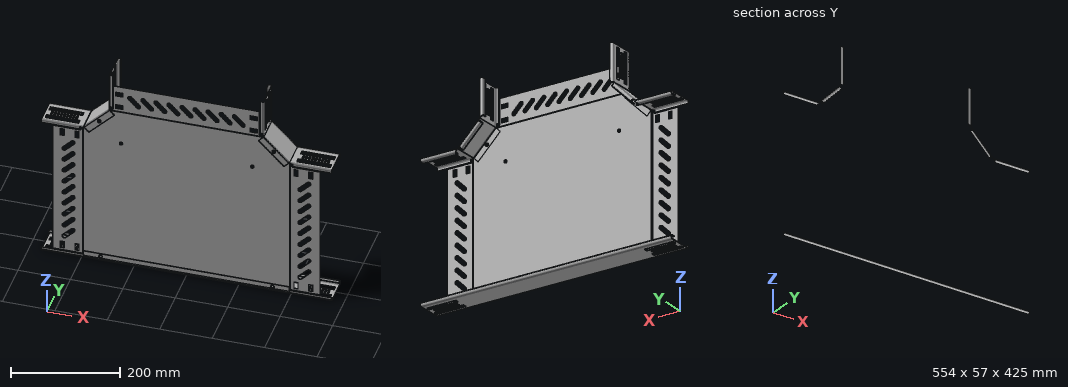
import cadquery as cq
import math


SHEET = 1.5
HALF_LENGTH = 277.0
DEPTH = 57.0
RUN_HEIGHT = 297.5
TOTAL_HEIGHT = 425.0
BRANCH_HALF_WIDTH = 148.0
CORNER_RUN = 49.0
CORNER_ANGLE = 45
JOINT_X = BRANCH_HALF_WIDTH + CORNER_RUN
JOINT_Z = RUN_HEIGHT + CORNER_RUN
RUN_WING = HALF_LENGTH - JOINT_X
BRANCH_WING = TOTAL_HEIGHT - JOINT_Z
DIAGONAL = CORNER_RUN * math.sqrt(2)

BEND_RADIUS = 2.0
ROLL_RADIUS = 4.5
LIP_REACH = 10.5
LIP_CHAMFER = 5.5
FLANGE = 7.0
TAB = 15.0
FLANGE_RELIEF = 6.5
RAIL_TAB_HALF = JOINT_X - 0.5

SCREW_DIAMETER = 6.5
SCREW_INSET = 8.5
RAIL_SCREW_X = 164.0

WING_SLOT_CENTER = 37.0
LONG_SLOT_LENGTH = 63.5
LONG_SLOT_WIDTH = 8.0
LONG_SLOT_DEPTHS = (13.5, 38.0)
SHORT_SLOT_COUNT = 9
SHORT_SLOT_PITCH = 48.0 / (SHORT_SLOT_COUNT - 1)
SHORT_SLOT_WIDTH = 3.0
SHORT_SLOT_LENGTH = 8.5
SHORT_SLOT_DEPTH = 25.5

PLATE_BOTTOM = 4.5
PLATE_TOP = JOINT_Z - BEND_RADIUS
STRIP_CLEARANCE = 9.0
STRIP_WIDTH = 58.0
STEP_WIDTH = 1.5
ROOT_FLARE = 6.0
RUN_STRIP_LENGTH = RUN_HEIGHT - 2 * STRIP_CLEARANCE
BRANCH_STRIP_LENGTH = 2 * (BRANCH_HALF_WIDTH - STRIP_CLEARANCE)
PLATE_HOLE_DIAMETER = 6.0
PLATE_HOLE_X = 125.0
PLATE_HOLE_Z = 272.5

SLANT_COUNT = 9
SLANT_PITCH = 25.0
SLANT_LENGTH = 31.0
SLANT_WIDTH = 8.0
SLANT_ANGLE = 45
SLANT_INSET = 30.0
WINDOW_LENGTH = 14.0
WINDOW_WIDTH = 8.0
WINDOW_INSETS = (18.0, 46.0)
WINDOW_OFFSET = 128.0



def bend(length):
    """Quarter bend between a wall and its flange."""
    inner = BEND_RADIUS - SHEET
    mid = math.sqrt(0.5)
    return (
        cq.Workplane("YZ")
        .moveTo(BEND_RADIUS, 0)
        .threePointArc((BEND_RADIUS * (1 - mid), -BEND_RADIUS * (1 - mid)), (0, -BEND_RADIUS))
        .lineTo(SHEET, -BEND_RADIUS)
        .threePointArc(
            (BEND_RADIUS - inner * mid, -BEND_RADIUS + inner * mid), (BEND_RADIUS, -SHEET)
        )
        .close()
        .extrude(length)
    )


def flange(start, end, reach):
    """Flat flange from one place along the wall to another."""
    return (
        cq.Workplane("XY")
        .box(end - start, SHEET, reach - BEND_RADIUS, centered=False)
        .translate((start, 0, -reach))
    )


def rolled_lip(length):
    """Half-round rolled edge with its straight lip."""
    wall_end = DEPTH - ROLL_RADIUS
    inner_low = -2 * ROLL_RADIUS + SHEET
    return (
        cq.Workplane("YZ")
        .moveTo(wall_end, 0)
        .threePointArc((DEPTH, -ROLL_RADIUS), (wall_end, -2 * ROLL_RADIUS))
        .lineTo(DEPTH - LIP_REACH, -2 * ROLL_RADIUS)
        .lineTo(DEPTH - LIP_REACH, inner_low)
        .lineTo(wall_end, inner_low)
        .threePointArc((DEPTH - SHEET, -ROLL_RADIUS), (wall_end, -SHEET))
        .close()
        .extrude(length)
    )


def mitre_lip(lip, length, start, end):
    """Cut the lip back at 45 degrees at the chosen ends, beyond the crown of the roll."""
    low = -2 * ROLL_RADIUS
    left = ROLL_RADIUS if start else 0
    right = length - (ROLL_RADIUS if end else 0)
    outline = [(0, 0), (length, 0), (length, -ROLL_RADIUS), (right, low), (left, low), (0, -ROLL_RADIUS)]
    keep = cq.Workplane("XZ").polyline(outline).close().extrude(-DEPTH)
    return lip.intersect(keep)


def chamfer_roll(lip, length):
    """Bevel both ends of the roll towards its far edge."""
    near = DEPTH - LIP_REACH
    wall_end = DEPTH - ROLL_RADIUS
    outline = [
        (0, near), (length, near), (length, wall_end), (length - LIP_CHAMFER, DEPTH),
        (LIP_CHAMFER, DEPTH), (0, wall_end),
    ]
    keep = cq.Workplane("XY").polyline(outline).close().extrude(-2 * ROLL_RADIUS)
    return lip.intersect(keep)


def wing_edges(length):
    """Folded edges of a wing whose free end is at X = 0."""
    lip = mitre_lip(rolled_lip(length), length, False, True)
    return bend(length).union(flange(0, length - FLANGE_RELIEF, FLANGE)).union(lip)


def corner_edges():
    """Folded edges of the 45 degree corner wall."""
    lip = mitre_lip(rolled_lip(DIAGONAL), DIAGONAL, True, True)
    lip = chamfer_roll(lip, DIAGONAL)
    tab = flange(0, DIAGONAL, TAB).cut(screw_hole(DIAGONAL / 2, -SCREW_INSET))
    return bend(DIAGONAL).union(tab).union(lip)


def wing_slots():
    """Cutters for the slots of a wing whose free end is at X = 0."""
    through = 4 * SHEET
    plane = cq.Workplane("XY").workplane(offset=-through / 2)
    long_places = [(WING_SLOT_CENTER, depth) for depth in LONG_SLOT_DEPTHS]
    first = WING_SLOT_CENTER - SHORT_SLOT_PITCH * (SHORT_SLOT_COUNT - 1) / 2
    short_places = [
        (first + i * SHORT_SLOT_PITCH, SHORT_SLOT_DEPTH) for i in range(SHORT_SLOT_COUNT)
    ]
    long_slots = plane.pushPoints(long_places).rect(LONG_SLOT_LENGTH, LONG_SLOT_WIDTH).extrude(through)
    short_slots = plane.pushPoints(short_places).rect(SHORT_SLOT_WIDTH, SHORT_SLOT_LENGTH).extrude(through)
    return long_slots.add(short_slots).combine()


def screw_hole(x, z):
    """Cutter for a screw hole along Y through flange and plate."""
    return (
        cq.Workplane("XZ")
        .center(x, z)
        .circle(SCREW_DIAMETER / 2)
        .extrude(-3 * SHEET)
    )


def place(section, x, z, angle):
    """Turn a wall section up from +X by the angle and move its start to (x, z)."""
    return section.rotate((0, 0, 0), (0, 1, 0), -angle).translate((x, 0, z))


def flip_along(section, length):
    """Reverse a section end for end along X."""
    return section.mirror("YZ").translate((length, 0, 0))


def mirrored(body):
    """Copy of a body on the other side of the plane X = 0."""
    return body.mirror("YZ")


def corner_bracket():
    """Left bracket: run wing, 45 degree corner wall and branch wing."""
    shift = SHEET * math.tan(math.radians(CORNER_ANGLE / 2))
    outline = [
        (-HALF_LENGTH, RUN_HEIGHT),
        (-JOINT_X, RUN_HEIGHT),
        (-BRANCH_HALF_WIDTH, JOINT_Z),
        (-BRANCH_HALF_WIDTH, TOTAL_HEIGHT),
        (-BRANCH_HALF_WIDTH + SHEET, TOTAL_HEIGHT),
        (-BRANCH_HALF_WIDTH + SHEET, JOINT_Z - shift),
        (-JOINT_X + shift, RUN_HEIGHT - SHEET),
        (-HALF_LENGTH, RUN_HEIGHT - SHEET),
    ]
    wall = (
        cq.Workplane("XZ", origin=(0, BEND_RADIUS, 0))
        .polyline(outline)
        .close()
        .extrude(BEND_RADIUS + ROLL_RADIUS - DEPTH)
    )
    branch_edges = flip_along(wing_edges(BRANCH_WING), BRANCH_WING)
    branch_slots = flip_along(wing_slots(), BRANCH_WING)
    return (
        wall
        .union(place(wing_edges(RUN_WING), -HALF_LENGTH, RUN_HEIGHT, 0))
        .union(place(corner_edges(), -JOINT_X, RUN_HEIGHT, CORNER_ANGLE))
        .union(place(branch_edges, -BRANCH_HALF_WIDTH, JOINT_Z, 90))
        .cut(place(wing_slots(), -HALF_LENGTH, RUN_HEIGHT, 0))
        .cut(place(branch_slots, -BRANCH_HALF_WIDTH, JOINT_Z, 90))
    )


def side_rail():
    """Straight rail along the lower side of the run."""
    length = 2 * HALF_LENGTH
    wall = (
        cq.Workplane("XY")
        .box(length, DEPTH - BEND_RADIUS - ROLL_RADIUS, SHEET, centered=False)
        .translate((0, BEND_RADIUS, -SHEET))
    )
    rail = (
        wall
        .union(bend(length))
        .union(rolled_lip(length))
        .union(flange(0, length, FLANGE))
        .union(flange(HALF_LENGTH - RAIL_TAB_HALF, HALF_LENGTH + RAIL_TAB_HALF, TAB))
        .cut(wing_slots())
        .cut(flip_along(wing_slots(), length))
    )
    rail = place(rail, HALF_LENGTH, 0, 180)
    for x in (-RAIL_SCREW_X, RAIL_SCREW_X):
        rail = rail.cut(screw_hole(x, SCREW_INSET))
    return rail


def plate_strip(length, slant_angle, low_flare):
    """Perforated edge strip, stepped down by one sheet, reaching out along -X from X = 0.

    Its root flares out at 45 degrees at the upper end, and at the lower end by low_flare.
    """
    profile = [
        (0, SHEET), (-STEP_WIDTH, 0), (-STRIP_WIDTH, 0),
        (-STRIP_WIDTH, SHEET), (-STEP_WIDTH, SHEET), (0, 2 * SHEET),
    ]
    half = length / 2
    low_root = half + low_flare
    high_root = half + ROOT_FLARE
    outline = [
        (0, -low_root), (-low_flare, -half), (-STRIP_WIDTH, -half),
        (-STRIP_WIDTH, half), (-ROOT_FLARE, half), (0, high_root),
    ]
    if low_flare == 0:
        outline.pop(0)
    blank = cq.Workplane("XZ").polyline(outline).close().extrude(-2 * SHEET)
    fold = cq.Workplane("XY", origin=(0, 0, -low_root)).polyline(profile).close()
    strip = fold.extrude(low_root + high_root).intersect(blank)
    openings = cq.Workplane("XZ")
    slants = [
        (SLANT_INSET - STRIP_WIDTH, (i - (SLANT_COUNT - 1) / 2) * SLANT_PITCH)
        for i in range(SLANT_COUNT)
    ]
    windows = [
        (inset - STRIP_WIDTH, offset)
        for inset in WINDOW_INSETS
        for offset in (-WINDOW_OFFSET, WINDOW_OFFSET)
    ]
    slant_slots = openings.pushPoints(slants).slot2D(SLANT_LENGTH, SLANT_WIDTH, slant_angle).extrude(-SHEET)
    window_slots = openings.pushPoints(windows).rect(WINDOW_WIDTH, WINDOW_LENGTH).extrude(-SHEET)
    return strip.cut(slant_slots).cut(window_slots)


def tee_plate():
    """Flat plate with a stepped strip on each of the three open sides."""
    slant_sum = JOINT_X + RUN_HEIGHT - BEND_RADIUS * math.sqrt(2)
    outline = [
        (-JOINT_X, PLATE_BOTTOM),
        (JOINT_X, PLATE_BOTTOM),
        (JOINT_X, slant_sum - JOINT_X),
        (slant_sum - PLATE_TOP, PLATE_TOP),
        (PLATE_TOP - slant_sum, PLATE_TOP),
        (-JOINT_X, slant_sum - JOINT_X),
    ]
    sheet = cq.Workplane("XZ", origin=(0, SHEET, 0)).polyline(outline).close().extrude(-SHEET)
    run_middle = RUN_HEIGHT / 2
    left_strip = plate_strip(RUN_STRIP_LENGTH, SLANT_ANGLE, 0).translate((-JOINT_X, 0, run_middle))
    right_strip = mirrored(plate_strip(RUN_STRIP_LENGTH, -SLANT_ANGLE, 0)).translate((JOINT_X, 0, run_middle))
    branch_strip = place(plate_strip(BRANCH_STRIP_LENGTH, SLANT_ANGLE, ROOT_FLARE), 0, PLATE_TOP, -90)
    plate = sheet.union(left_strip).union(right_strip).union(branch_strip)

    corner_x = JOINT_X - CORNER_RUN / 2 - SCREW_INSET * math.sqrt(0.5)
    corner_z = RUN_HEIGHT + CORNER_RUN / 2 - SCREW_INSET * math.sqrt(0.5)
    for side in (-1, 1):
        plate = plate.cut(screw_hole(side * RAIL_SCREW_X, SCREW_INSET))
        plate = plate.cut(screw_hole(side * corner_x, corner_z))

    plate_holes = (
        cq.Workplane("XZ")
        .pushPoints([(-PLATE_HOLE_X, PLATE_HOLE_Z), (PLATE_HOLE_X, PLATE_HOLE_Z)])
        .circle(PLATE_HOLE_DIAMETER / 2)
        .extrude(-2 * SHEET)
    )
    return plate.cut(plate_holes)


plate = tee_plate()
rail = side_rail()
left_bracket = corner_bracket()
right_bracket = mirrored(left_bracket)

bodies = [plate, rail, left_bracket, right_bracket]
result = cq.Compound.makeCompound([body.solids().val() for body in bodies])